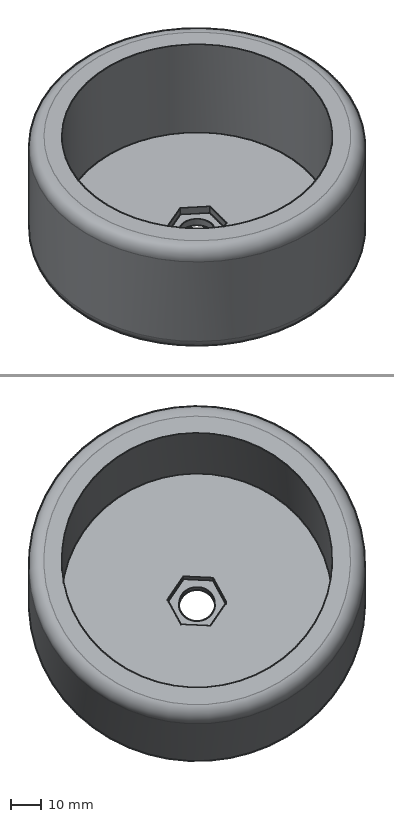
import cadquery as cq
import math

outer_diameter = 112.0
height = 46.0
edge_radius = 5.0

cavity_diameter = 90.0
floor_thickness = 6.0
cavity_depth = height - floor_thickness

bolt_hole_diameter = 12.0
hex_sides = 6
hex_across_flats = 17.0
hex_across_corners = hex_across_flats / math.cos(math.pi / hex_sides)
hex_depth = floor_thickness / 2
hex_turn = 90.0


def make_body():
    """Solid disc with rounded top and bottom edges."""
    disc = cq.Workplane("XY").circle(outer_diameter / 2).extrude(height)
    return disc.faces("<Z or >Z").edges().fillet(edge_radius)


def make_cavity():
    """Cylindrical space above the floor."""
    floor = cq.Workplane("XY").workplane(offset=floor_thickness)
    return floor.circle(cavity_diameter / 2).extrude(cavity_depth)


def make_bolt_hole():
    """Round hole through the floor."""
    return cq.Workplane("XY").circle(bolt_hole_diameter / 2).extrude(floor_thickness)


def make_hex_recess():
    """Hexagonal recess sunk into the top of the floor."""
    seat = cq.Workplane("XY").workplane(offset=floor_thickness - hex_depth)
    turned_seat = seat.transformed(rotate=(0, 0, hex_turn))
    return turned_seat.polygon(hex_sides, hex_across_corners).extrude(hex_depth)


result = make_body().cut(make_cavity()).cut(make_bolt_hole()).cut(make_hex_recess())